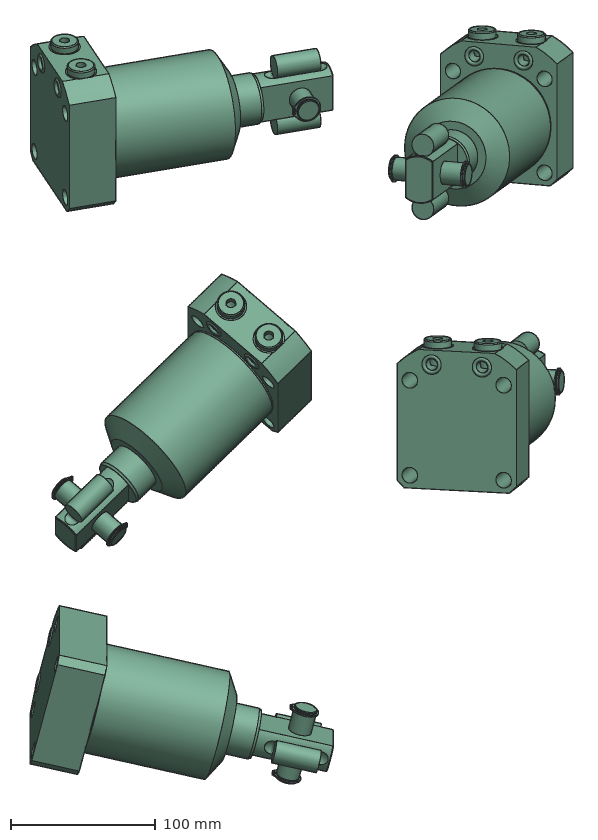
import cadquery as cq
import math


seal_cord_radius = 1.5
seal_ring_radius = 5.5
seal_protrusion = 1.0

overall_length = 204.0
overall_height = 103.0

flange_thickness = 33.9
spigot_end = 35.0
cone_start = 122.2
cone_end = 130.8
shoulder_y = 150.0
rod_tip_y = overall_length - seal_protrusion

flange_width = 85.0
flange_half_width = flange_width / 2
flange_top_z = 55.5
corner_turning_radius = 61.8
lower_corner_chamfer = 5.0
bolt_spacing = 67.0
bolt_hole_diameter = 11.0

barrel_radius = 38.4
spigot_radius = barrel_radius - 0.2
cone_end_radius = 24.0

channel_x = 18.0
channel_z = 45.3
channel_radius = 4.3
plug_y = 16.7
plug_head_radius = 9.5
plug_head_top_z = overall_height - flange_half_width
plug_head_chamfer = 0.8
plug_shank_radius = 6.5
plug_shank_bottom_z = 42.5
spot_face_radius = 10.8
spot_face_depth = 0.2
socket_radius = 6.7 / 2
socket_depth = 4.9
socket_tip_depth = 8.2

collar_radius = 36.1 / 2
collar_chamfer_length = 1.8
collar_chamfer_height = 0.8
tongue_radius = 17.0
tongue_width = 20.0
tip_chamfer = 0.6

bar_radius = 8.0
bar_length = 31.6
bar_z = 22.5
bar_end_y = 163.0
bar_middle_y = bar_end_y + bar_length / 2
groove_end_clearance = 1.0

pin_radius = 16.1 / 2
pin_length = 55.9
pin_y = 179.0
pin_chamfer = 0.6
ring_groove_radius = 15.3 / 2
ring_thickness = 1.0
ring_middle_from_pin_end = 2.2
ring_outer_radius = 9.4
ring_lug_reach = 10.8
ring_lug_half_width = 2.5
ring_eye_radius = 0.71
ring_eye_distance = 9.8
ring_eye_offset = 1.6
ring_gap_width = 0.8


def revolve_about_rod_axis(outline):
    """Turn a closed list of (radius, y) points around the Y axis."""
    return cq.Workplane("XY").polyline(outline).close().revolve(360, (0, 0, 0), (0, 1, 0))


def cylinder_along_y(radius, start_y, length, x=0.0, z=0.0):
    return cq.Workplane(cq.Solid.makeCylinder(radius, length, cq.Vector(x, start_y, z), cq.Vector(0, 1, 0)))


def cylinder_along_x(radius, length, y):
    """Cylinder centred on X = 0 at height Z = 0."""
    start = cq.Vector(-length / 2, y, 0)
    return cq.Workplane(cq.Solid.makeCylinder(radius, length, start, cq.Vector(1, 0, 0)))


def make_flange():
    """Square plate raised at the top, its upper corners turned to an arc about the rod axis."""
    top_corner_x = math.sqrt(corner_turning_radius**2 - flange_top_z**2)
    side_corner_z = math.sqrt(corner_turning_radius**2 - flange_half_width**2)
    middle_angle = (math.atan2(flange_top_z, top_corner_x) + math.atan2(side_corner_z, flange_half_width)) / 2
    arc_middle_x = corner_turning_radius * math.cos(middle_angle)
    arc_middle_z = corner_turning_radius * math.sin(middle_angle)
    bottom_z = -flange_half_width
    bottom_corner_x = flange_half_width - lower_corner_chamfer

    plate = (
        cq.Workplane("XZ")
        .moveTo(-bottom_corner_x, bottom_z)
        .lineTo(bottom_corner_x, bottom_z)
        .lineTo(flange_half_width, bottom_z + lower_corner_chamfer)
        .lineTo(flange_half_width, side_corner_z)
        .threePointArc((arc_middle_x, arc_middle_z), (top_corner_x, flange_top_z))
        .lineTo(-top_corner_x, flange_top_z)
        .threePointArc((-arc_middle_x, arc_middle_z), (-flange_half_width, side_corner_z))
        .lineTo(-flange_half_width, bottom_z + lower_corner_chamfer)
        .close()
        .extrude(-flange_thickness)
    )
    bolt_holes = (
        cq.Workplane("XZ")
        .rect(bolt_spacing, bolt_spacing, forConstruction=True)
        .vertices()
        .circle(bolt_hole_diameter / 2)
        .extrude(-flange_thickness)
    )
    return plate.cut(bolt_holes)


def make_barrel():
    return revolve_about_rod_axis(
        [
            (0, flange_thickness),
            (spigot_radius, flange_thickness),
            (spigot_radius, spigot_end),
            (barrel_radius, spigot_end),
            (barrel_radius, cone_start),
            (cone_end_radius, cone_end),
            (0, cone_end),
        ]
    )


def make_plug(x):
    """Screw plug without its socket; the shank crosses the oil channel."""
    seat_z = flange_top_z - spot_face_depth
    head = (
        cq.Workplane("XY", origin=(x, plug_y, seat_z))
        .circle(plug_head_radius)
        .extrude(plug_head_top_z - seat_z)
        .faces(">Z")
        .chamfer(plug_head_chamfer)
    )
    shank = (
        cq.Workplane("XY", origin=(x, plug_y, plug_shank_bottom_z))
        .circle(plug_shank_radius)
        .extrude(seat_z - plug_shank_bottom_z)
    )
    return shank.union(head)


def make_plug_socket(x):
    """Round drilled socket with a conical bottom."""
    return (
        cq.Workplane("XZ")
        .polyline([(0, 0), (socket_radius, 0), (socket_radius, -socket_depth), (0, -socket_tip_depth)])
        .close()
        .revolve(360, (0, 0, 0), (0, 1, 0))
        .translate((x, plug_y, plug_head_top_z))
    )


def make_seal_ring(x, y):
    axis = cq.Vector(0, 1, 0)
    return cq.Workplane(cq.Solid.makeTorus(seal_ring_radius, seal_cord_radius, cq.Vector(x, y, channel_z), axis))


def make_housing():
    """Flange and barrel, with the plugs and seal rings of the two oil channels."""
    housing = make_flange().union(make_barrel())
    seal_sink = seal_cord_radius - seal_protrusion
    for x in (-channel_x, channel_x):
        spot_face = (
            cq.Workplane("XY", origin=(x, plug_y, flange_top_z))
            .circle(spot_face_radius)
            .extrude(-spot_face_depth)
        )
        channel = cylinder_along_y(channel_radius, 0, flange_thickness, x, channel_z)
        housing = housing.cut(spot_face).cut(channel).union(make_plug(x)).cut(make_plug_socket(x))
        for seal_y in (seal_sink, flange_thickness - seal_sink):
            housing = housing.union(make_seal_ring(x, seal_y))
    return housing


def make_bar(z):
    return cylinder_along_y(bar_radius, bar_end_y, bar_length, z=z)


def make_bar_groove(z):
    """Ball-ended groove, a little longer than the bar that lies in it."""
    straight_length = bar_length + 2 * groove_end_clearance
    start_y = bar_middle_y - straight_length / 2
    groove = cylinder_along_y(bar_radius, start_y, straight_length, z=z)
    for end_y in (start_y, start_y + straight_length):
        groove = groove.union(cq.Workplane("XY").sphere(bar_radius).translate((0, end_y, z)))
    return groove


def make_rod():
    """Collar carrying a flat-sided tongue, bored for the pin and grooved for the bars."""
    collar = revolve_about_rod_axis(
        [
            (0, cone_end),
            (collar_radius, cone_end),
            (collar_radius, shoulder_y - collar_chamfer_length),
            (collar_radius - collar_chamfer_height, shoulder_y),
            (0, shoulder_y),
        ]
    )
    tongue_length = rod_tip_y - shoulder_y
    round_end = cylinder_along_y(tongue_radius, shoulder_y, tongue_length)
    flats = cq.Workplane("XY").box(tongue_width, tongue_length, 2 * tongue_radius)
    tongue = round_end.intersect(flats.translate((0, shoulder_y + tongue_length / 2, 0)))
    tongue = tongue.faces(">Y").chamfer(tip_chamfer)
    rod = collar.union(tongue).cut(cylinder_along_x(pin_radius, tongue_width, pin_y))
    for z in (-bar_z, bar_z):
        rod = rod.cut(make_bar_groove(z))
    return rod


def make_pin():
    pin = cylinder_along_x(pin_radius, pin_length, pin_y).faces("<X or >X").chamfer(pin_chamfer)
    for x in ring_middles:
        groove = (
            cq.Workplane("YZ", origin=(x - ring_thickness / 2, pin_y, 0))
            .circle(pin_radius)
            .circle(ring_groove_radius)
            .extrude(ring_thickness)
        )
        pin = pin.cut(groove)
    return pin


def make_retaining_ring(x):
    """Open ring that widens into two eyed lugs, one on each side of the gap, which faces the flange."""
    plane = cq.Workplane("YZ", origin=(x - ring_thickness / 2, pin_y, 0))
    taper_start = ring_outer_radius / math.sqrt(2)
    lug_outline = [
        (-taper_start, -taper_start),
        (-ring_lug_reach, -ring_lug_half_width),
        (-ring_lug_reach, ring_lug_half_width),
        (-taper_start, taper_start),
    ]
    eye_centres = [(-ring_eye_distance, -ring_eye_offset), (-ring_eye_distance, ring_eye_offset)]

    ring = plane.circle(ring_outer_radius).extrude(ring_thickness)
    lugs = plane.polyline(lug_outline).close().extrude(ring_thickness)
    bore = plane.circle(ring_groove_radius).extrude(ring_thickness)
    eyes = plane.pushPoints(eye_centres).circle(ring_eye_radius).extrude(ring_thickness)
    gap = plane.center(-ring_lug_reach / 2, 0).rect(ring_lug_reach, ring_gap_width).extrude(ring_thickness)
    return ring.union(lugs).cut(bore).cut(eyes).cut(gap)


ring_middle_x = pin_length / 2 - ring_middle_from_pin_end
ring_middles = (-ring_middle_x, ring_middle_x)

housing = make_housing()
rod = make_rod()
pin = make_pin()
bars = [make_bar(z) for z in (-bar_z, bar_z)]
retaining_rings = [make_retaining_ring(x) for x in ring_middles]

bodies = [housing, rod, pin, *bars, *retaining_rings]
result = cq.Compound.makeCompound([body.solids().val() for body in bodies])